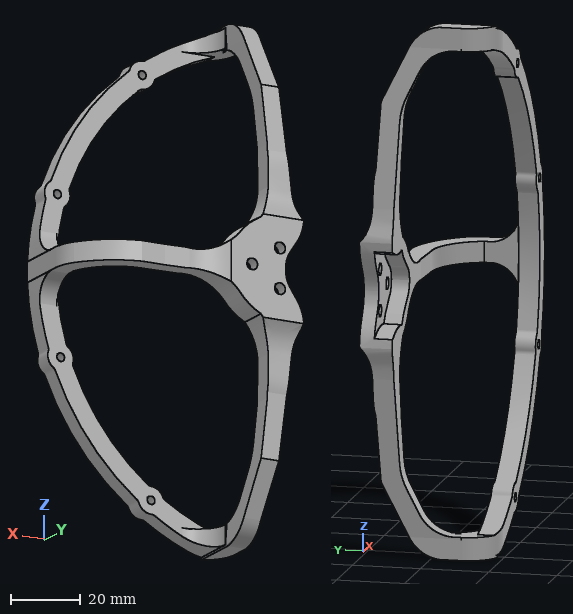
import cadquery as cq
import math

half_height = 78.0
total_width = 69.3
total_depth = 38.4

rim_width = 6.2
rim_thickness = 6.2
rim_outer_radius = 81.2
rim_inner_radius = rim_outer_radius - rim_width
rim_center_x = total_width - rim_outer_radius
rim_inner_x = total_width - rim_width

tab_angles = (53.0, 16.9, -19.4, -55.6)
tab_circle_radius = (rim_outer_radius + rim_inner_radius) / 2
tab_radius = 4.2
tab_hole_radius = 1.2
tab_blend_radius = 1.9
tab_search_margin = 0.5

corner_x = 6.9
corner_inner_x = 13.0
corner_outer_radius = 10.0
corner_inner_z = 71.2
corner_inner_radius = 9.0

hub_front_y = 28.7
hub_notch_x = 6.0
hub_half_height = 15.5
recess_floor_y = 34.0
hub_hole_radius = 1.7
hub_side_hole_x = 7.8
hub_side_hole_z = 6.1
hub_nose_hole_x = 16.9
recess_nose_radius = 5.2

arm_start_z = 25.0
knee_inner_z = 49.6
knee_outer_z = 55.9
shoulder_z = 71.8

center_arm_half_width = 3.1
center_arm_start_x = 23.7
center_arm_straight_x = 36.2
center_arm_back_y = 34.5
flare_length_y = 7.5
flare_length_z = 9.4

DIAGONAL = math.sqrt(0.5)
MARGIN = 1.5


def front_prism(outline, start_y, end_y):
    """Extrude an outline drawn in X and Z from start_y to end_y."""
    return outline.extrude(start_y - end_y).translate((0, start_y, 0))


def with_mirror(half):
    """Join a half of the part with its mirror image across Z = 0."""
    return half.union(half.mirror("XY"))


def rim_x_at(radius, z):
    """X of the circle of the given radius, around the rim center, at height z."""
    return rim_center_x + math.sqrt(radius**2 - z**2)


def rim_band(depth):
    """The rim's front shape between its two ends, with the given depth in Y."""
    outer_x = rim_x_at(rim_outer_radius, half_height)
    inner_x = rim_x_at(rim_inner_radius, corner_inner_z)
    outline = (
        cq.Workplane("XZ")
        .moveTo(corner_x, -half_height)
        .lineTo(outer_x, -half_height)
        .threePointArc((total_width, 0), (outer_x, half_height))
        .lineTo(corner_x, half_height)
        .lineTo(corner_x, corner_inner_z)
        .lineTo(inner_x, corner_inner_z)
        .threePointArc((rim_inner_x, 0), (inner_x, -corner_inner_z))
        .lineTo(corner_x, -corner_inner_z)
        .close()
    )
    return front_prism(outline, 0, depth)


def tab_centers():
    """X and Z of the four tabs."""
    return [
        (
            rim_center_x + tab_circle_radius * math.cos(math.radians(angle)),
            tab_circle_radius * math.sin(math.radians(angle)),
        )
        for angle in tab_angles
    ]


def tab_cylinders(radius):
    """A cylinder through the rim at each tab."""
    return front_prism(cq.Workplane("XZ").pushPoints(tab_centers()).circle(radius), 0, rim_thickness)


def rim():
    """The rim with its tabs, blended into the band by small fillets."""
    plate = rim_band(rim_thickness).union(tab_cylinders(tab_radius))
    for x, z in tab_centers():
        reach = tab_radius + tab_search_margin
        around_tab = cq.selectors.BoxSelector(
            (x - reach, -MARGIN, z - reach), (x + reach, rim_thickness + MARGIN, z + reach)
        )
        plate = plate.edges("|Y").edges(around_tab).fillet(tab_blend_radius)
    return plate


def corner_rounding():
    """Material outside the rounded outer corner, along the whole height."""
    radius = corner_outer_radius
    return (
        cq.Workplane("XY", origin=(0, 0, -half_height))
        .moveTo(corner_x - MARGIN, -MARGIN)
        .lineTo(corner_x + radius, -MARGIN)
        .lineTo(corner_x + radius, 0)
        .threePointArc(
            (corner_x + radius * (1 - DIAGONAL), radius * (1 - DIAGONAL)), (corner_x, radius)
        )
        .lineTo(corner_x - MARGIN, radius)
        .close()
        .extrude(2 * half_height)
    )


def corner_fillets():
    """Webs filling the inside of both corners between side arm and rim."""
    radius = corner_inner_radius
    end_x = corner_inner_x + radius
    end_y = rim_thickness + radius
    web = (
        cq.Workplane("XY", origin=(0, 0, corner_inner_z))
        .moveTo(corner_inner_x - MARGIN, rim_thickness - MARGIN)
        .lineTo(end_x, rim_thickness - MARGIN)
        .lineTo(end_x, rim_thickness)
        .threePointArc((end_x - radius * DIAGONAL, end_y - radius * DIAGONAL), (corner_inner_x, end_y))
        .lineTo(corner_inner_x - MARGIN, end_y)
        .close()
        .extrude(half_height - corner_inner_z)
    )
    return with_mirror(web).intersect(rim_band(end_y))


def spider_prism():
    """Hub and three arms seen along Y, through the whole depth."""
    left_side = [(5.3, 3.6), (1.5, 9.7), (0.0, hub_half_height), (2.2, arm_start_z)]
    half = (
        cq.Workplane("XZ")
        .moveTo(hub_notch_x, 0)
        .spline(left_side, tangents=[(0, 1), (0.1, 1)], includeCurrent=True)
        .lineTo(corner_x, shoulder_z)
        .lineTo(corner_x, half_height)
        .lineTo(corner_inner_x, half_height)
        .lineTo(12.5, corner_inner_z)
        .lineTo(10.6, knee_inner_z)
        .lineTo(9.7, 38.0)
        .lineTo(9.8, arm_start_z)
        .threePointArc((11.2, 19.2), (14.0, 14.5))
        .threePointArc((18.0, 12.0), (21.0, 8.7))
        .threePointArc((25.8, 5.0), (center_arm_straight_x, center_arm_half_width))
        .lineTo(total_width, center_arm_half_width)
        .lineTo(total_width, 0)
        .close()
    )
    return with_mirror(front_prism(half, 0, total_depth))


def side_arm_band():
    """Hub and side arms seen along X, as wide as the hub."""
    half = (
        cq.Workplane("YZ")
        .moveTo(hub_front_y, 0)
        .lineTo(total_depth, 0)
        .lineTo(total_depth, hub_half_height)
        .spline([(36.5, 18.1), (35.1, 24.2), (34.3, 36.2)], includeCurrent=True)
        .lineTo(33.3, knee_outer_z)
        .lineTo(25.5, shoulder_z)
        .threePointArc((21.9, 76.0), (16.5, half_height))
        .lineTo(0, half_height)
        .lineTo(0, corner_inner_z)
        .lineTo(11.2, corner_inner_z)
        .threePointArc((17.5, 69.8), (22.2, 64.8))
        .lineTo(25.5, 58.0)
        .threePointArc((27.0, 54.0), (27.6, knee_inner_z))
        .lineTo(hub_front_y, arm_start_z)
        .close()
        .extrude(center_arm_start_x)
    )
    return with_mirror(half)


def center_arm_band():
    """Center arm seen along Z, from the hub down to the rim."""
    return (
        cq.Workplane("XY", origin=(0, 0, -hub_half_height))
        .moveTo(hub_nose_hole_x, hub_front_y)
        .lineTo(hub_nose_hole_x, total_depth)
        .lineTo(center_arm_start_x, total_depth)
        .threePointArc((28.9, 35.9), (35.5, 35.0))
        .lineTo(43.2, center_arm_back_y)
        .lineTo(50.7, center_arm_back_y)
        .threePointArc((61.8, 29.5), (67.1, 23.9))
        .threePointArc((68.8, 20.3), (total_width, 16.4))
        .lineTo(total_width, 0)
        .lineTo(rim_inner_x, 0)
        .lineTo(rim_inner_x, 16.4)
        .threePointArc((58.4, 23.9), (46.2, 28.3))
        .lineTo(center_arm_straight_x, hub_front_y)
        .close()
        .extrude(2 * hub_half_height)
    )


def center_arm_flare():
    """Curved widening of the center arm where it lands on the rim."""
    foot_z = center_arm_half_width + flare_length_z
    top_y = rim_thickness + flare_length_y
    half = (
        cq.Workplane("YZ", origin=(rim_inner_x, 0, 0))
        .moveTo(0, 0)
        .lineTo(0, foot_z)
        .lineTo(rim_thickness, foot_z)
        .threePointArc(
            (top_y - flare_length_y * DIAGONAL, foot_z - flare_length_z * DIAGONAL),
            (top_y, center_arm_half_width),
        )
        .lineTo(top_y, 0)
        .close()
        .extrude(rim_width)
    )
    return with_mirror(half).intersect(rim_band(top_y))


def hub_recess():
    """Recess in the hub front, following the three holes and open at the notch."""
    half = (
        cq.Workplane("XZ")
        .moveTo(-MARGIN, 0)
        .lineTo(-MARGIN, 13.5)
        .lineTo(1.5, 12.3)
        .threePointArc((7.2, 10.8), (12.3, 11.0))
        .lineTo(14.4, 8.3)
        .lineTo(19.0, 4.7)
        .threePointArc((21.2, 2.7), (hub_nose_hole_x + recess_nose_radius, 0))
        .close()
    )
    return with_mirror(front_prism(half, hub_front_y, recess_floor_y))


def hub_holes():
    """The three holes through the hub."""
    places = [
        (hub_side_hole_x, hub_side_hole_z),
        (hub_side_hole_x, -hub_side_hole_z),
        (hub_nose_hole_x, 0),
    ]
    holes = cq.Workplane("XZ").pushPoints(places).circle(hub_hole_radius)
    return front_prism(holes, hub_front_y, total_depth)


spider = spider_prism()
result = (
    rim()
    .union(spider.intersect(side_arm_band()))
    .union(spider.intersect(center_arm_band()))
    .union(corner_fillets())
    .union(center_arm_flare())
    .cut(corner_rounding())
    .cut(hub_recess())
    .cut(hub_holes())
    .cut(tab_cylinders(tab_hole_radius))
)